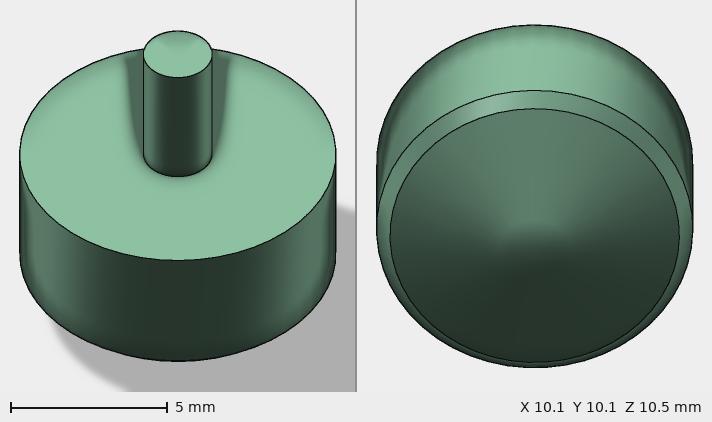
import cadquery as cq

total_height = 10.5
body_diameter = 10.1
pin_diameter = 2.2
pin_length = 4.3
cone_height = 1.42
chamfer_size = 0.43

body_radius = body_diameter / 2
pin_radius = pin_diameter / 2
cone_radius = body_radius - chamfer_size
chamfer_top = cone_height + chamfer_size
shoulder_height = total_height - pin_length


def make_body():
    """Round body with a chamfered lower edge and a shallow conical tip."""
    half_profile = (
        cq.Workplane("XZ")
        .lineTo(cone_radius, cone_height)
        .lineTo(body_radius, chamfer_top)
        .lineTo(body_radius, shoulder_height)
        .lineTo(0, shoulder_height)
        .close()
    )
    axis_start = (0, 0, 0)
    axis_end = (0, 1, 0)
    return half_profile.revolve(360, axis_start, axis_end)


def make_pin():
    """Cylindrical pin standing on the flat shoulder."""
    shoulder_plane = cq.Workplane("XY").workplane(offset=shoulder_height)
    return shoulder_plane.circle(pin_radius).extrude(pin_length)


result = make_body().union(make_pin())